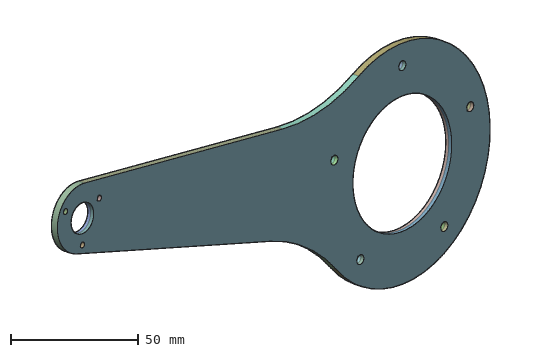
import cadquery as cq
import math

thickness = 3.3
total_length = 250.5
disc_radius = 50.9
tip_radius = 14.5
tip_rise = 30.0
tip_reach = total_length - disc_radius - tip_radius

arm_root_radius = 28.3
neck_fillet_radius = 75.2

disc_bore_diameter = 57.0
disc_bolt_circle_radius = 41.3
disc_bolt_diameter = 4.0
disc_bolt_count = 5
tip_bore_diameter = 13.0
tip_bolt_circle_radius = 11.3
tip_bolt_diameter = 2.38
tip_bolt_count = 3

arm_length = math.hypot(tip_reach, tip_rise)
arm_tilt = math.degrees(math.atan2(tip_rise, tip_reach))


def polar(radius, angle):
    return (radius * math.cos(angle), radius * math.sin(angle))


def mirrored(point):
    return (point[0], -point[1])


def plate():
    """Plate with the disc centre at the origin, before tilting the arm along its local x axis."""
    edge_normal = math.pi / 2 - math.asin((arm_root_radius - tip_radius) / arm_length)

    center_distance = disc_radius + neck_fillet_radius
    edge_distance = arm_root_radius + neck_fillet_radius
    neck_angle = edge_normal - math.acos(edge_distance / center_distance)
    fillet_x, fillet_y = polar(center_distance, neck_angle)

    def on_fillet(direction):
        dx, dy = polar(neck_fillet_radius, direction)
        return (fillet_x + dx, fillet_y + dy)

    disc_end = polar(disc_radius, neck_angle)
    fillet_start = neck_angle - math.pi
    fillet_end = edge_normal - math.pi
    fillet_middle = on_fillet((fillet_start + fillet_end) / 2)
    edge_start = on_fillet(fillet_end)
    tip_dx, tip_dy = polar(tip_radius, edge_normal)
    edge_end = (arm_length + tip_dx, tip_dy)

    return (
        cq.Workplane("YZ")
        .moveTo(*mirrored(disc_end))
        .threePointArc((-disc_radius, 0), disc_end)
        .threePointArc(fillet_middle, edge_start)
        .lineTo(*edge_end)
        .threePointArc((arm_length + tip_radius, 0), mirrored(edge_end))
        .lineTo(*mirrored(edge_start))
        .threePointArc(mirrored(fillet_middle), mirrored(disc_end))
        .close()
        .extrude(thickness / 2, both=True)
    )


def bore_and_bolts(center, bore_diameter, bolt_circle_radius, bolt_diameter, bolt_count, start_angle):
    """Cutter for a central bore ringed by equally spaced bolt holes."""
    plane = cq.Workplane("YZ").center(*center)
    bore = plane.circle(bore_diameter / 2).extrude(thickness, both=True)
    bolts = (
        plane.polarArray(bolt_circle_radius, start_angle, 360, bolt_count)
        .circle(bolt_diameter / 2)
        .extrude(thickness, both=True)
    )
    return bore.union(bolts)


body = plate().rotate((0, 0, 0), (1, 0, 0), 180 - arm_tilt)

disc_holes = bore_and_bolts(
    (0, 0), disc_bore_diameter, disc_bolt_circle_radius, disc_bolt_diameter, disc_bolt_count, 90
)
tip_holes = bore_and_bolts(
    (-tip_reach, tip_rise), tip_bore_diameter, tip_bolt_circle_radius, tip_bolt_diameter, tip_bolt_count, -90
)

result = body.cut(disc_holes).cut(tip_holes)